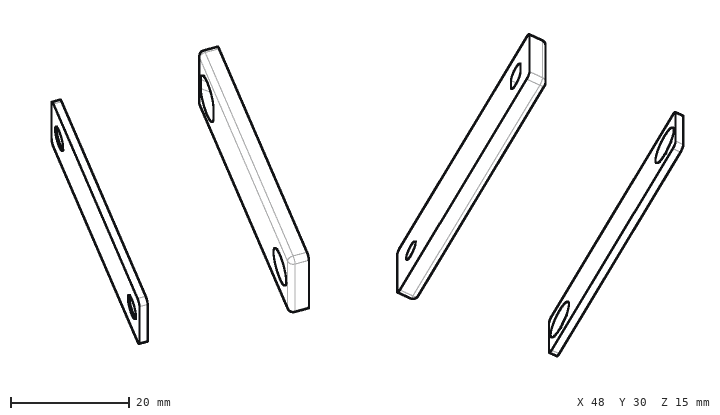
import cadquery as cq

total_depth = 30.0
hole_spacing = 38.0

cover_length = 48.0
cover_height = 15.0
cover_thickness = 3.5
cover_round = 1.0

bore_diameter = 3.4
sink_diameter = 6.6
sink_half_angle = 45
sink_depth = (sink_diameter - bore_diameter) / 2
slot_travel = 2.5

strip_length = 46.0
strip_height = 12.0
strip_thickness = 1.5
strip_corner = 1.0
strip_hole_diameter = 4.2
strip_sink_depth = (sink_diameter - strip_hole_diameter) / 2

strip_front = 0.0
cover_front = total_depth - cover_thickness


def plate(length, height, thickness, front):
    """Rectangular plate centred in X and Z, growing toward +Y from its front face."""
    return cq.Workplane("XY").box(length, thickness, height).translate((0, front + thickness / 2, 0))


def front_plane(x, front):
    """Sketch plane on a front face, with its normal pointing into the plate (+Y)."""
    return cq.Workplane(cq.Plane(origin=(x, front, 0), xDir=(1, 0, 0), normal=(0, 1, 0)))


def round_opening(x):
    """Round screw hole through the cover with a conical countersink."""
    bore = front_plane(x, cover_front).circle(bore_diameter / 2).extrude(cover_thickness)
    sink = front_plane(x, cover_front).circle(sink_diameter / 2).extrude(sink_depth, taper=sink_half_angle)
    return bore.union(sink)


def slotted_opening(x):
    """Vertical screw slot through the cover with a matching countersink."""
    bore = (
        front_plane(x, cover_front)
        .slot2D(bore_diameter + slot_travel, bore_diameter, 90)
        .extrude(cover_thickness)
    )
    sink = (
        front_plane(x, cover_front)
        .slot2D(sink_diameter + slot_travel, sink_diameter, 90)
        .extrude(sink_depth, taper=sink_half_angle)
    )
    return bore.union(sink)


def strip_opening(x):
    """Hole through the strip, with a cone that widens toward its back (+Y) face."""
    hole = front_plane(x, strip_front).circle(strip_hole_diameter / 2).extrude(strip_thickness)
    sink = (
        front_plane(x, strip_front + strip_thickness - strip_sink_depth)
        .circle(strip_hole_diameter / 2)
        .extrude(strip_sink_depth, taper=-sink_half_angle)
    )
    return hole.union(sink)


def make_cover():
    """Cover with rounded corners and front rim, one screw slot and one screw hole."""
    body = plate(cover_length, cover_height, cover_thickness, cover_front)
    body = body.edges("|Y or <Y").fillet(cover_round)
    body = body.cut(slotted_opening(-hole_spacing / 2))
    return body.cut(round_opening(hole_spacing / 2))


def make_strip():
    """Thin strip with rounded corners and two holes countersunk from the back."""
    body = plate(strip_length, strip_height, strip_thickness, strip_front)
    body = body.edges("|Y").fillet(strip_corner)
    for x in (-hole_spacing / 2, hole_spacing / 2):
        body = body.cut(strip_opening(x))
    return body


cover = make_cover()
strip = make_strip()
result = cq.Compound.makeCompound([cover.solids().val(), strip.solids().val()])